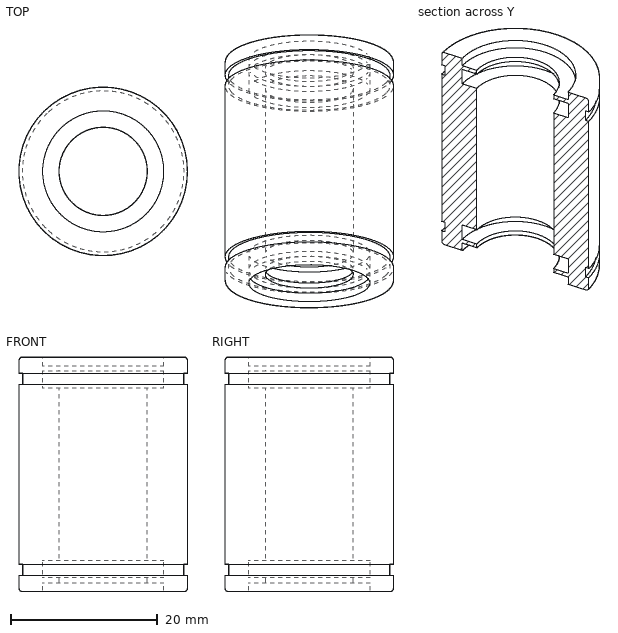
import cadquery as cq

length = 32.0
outer_diameter = 23.0
bore_diameter = 12.0
edge_radius = 0.48

ring_groove_diameter = 22.0
ring_groove_width = 1.5
end_collar_height = 2.25

recess_diameter = 16.5
recess_depth = 1.2
lip_thickness = 0.7
inner_groove_width = 2.3


def disc(diameter, bottom, height):
    """Solid cylinder on the Z axis, starting at the given level."""
    return cq.Workplane("XY").workplane(offset=bottom).circle(diameter / 2).extrude(height)


def ring_groove(bottom):
    """Ring of material to remove from the outside of the sleeve."""
    blank = disc(outer_diameter, bottom, ring_groove_width)
    return blank.cut(disc(ring_groove_diameter, bottom, ring_groove_width))


def upper_end_cuts():
    """Everything removed near the top end, apart from the through bore."""
    top = length / 2
    groove_bottom = top - end_collar_height - ring_groove_width
    recess_floor = top - recess_depth
    inner_groove_bottom = recess_floor - lip_thickness - inner_groove_width
    return [
        ring_groove(groove_bottom),
        disc(recess_diameter, recess_floor, recess_depth),
        disc(recess_diameter, inner_groove_bottom, inner_groove_width),
    ]


sleeve = disc(outer_diameter, -length / 2, length)
sleeve = sleeve.faces("<Z or >Z").edges().fillet(edge_radius)
sleeve = sleeve.cut(disc(bore_diameter, -length / 2, length))

for cutter in upper_end_cuts():
    sleeve = sleeve.cut(cutter).cut(cutter.mirror("XY"))

result = sleeve